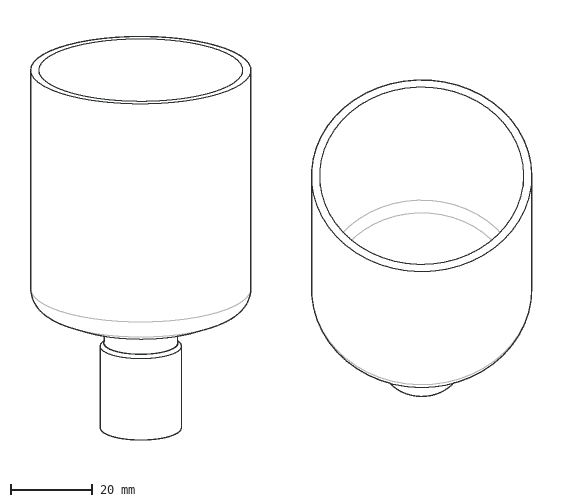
import cadquery as cq
import math

total_height = 92.0
cup_diameter = 54.0
bore_diameter = 50.0
seam_height = 35.9
stem_diameter = 20.0
stem_height = 21.8
stem_chamfer = 0.8
neck_diameter = 18.0

cup_radius = cup_diameter / 2
crown_radius = cup_diameter
knuckle_radius = cup_diameter / 10
wall = (cup_diameter - bore_diameter) / 2

tangent_angle = math.asin((cup_radius - knuckle_radius) / (crown_radius - knuckle_radius))
crown_center = seam_height + (crown_radius - knuckle_radius) * math.cos(tangent_angle)


def on_arc(center_x, center_z, radius, angle):
    """Point on an arc, with the angle measured from straight down."""
    return (center_x + radius * math.sin(angle), center_z - radius * math.cos(angle))


def dished_cylinder(offset):
    """Solid of the cup's outer shape, shrunk inward by the given offset."""
    crown = crown_radius - offset
    knuckle = knuckle_radius - offset
    knuckle_center = cup_radius - knuckle_radius
    knuckle_mid_angle = (tangent_angle + math.pi / 2) / 2
    side = cup_radius - offset
    return (
        cq.Workplane("XZ")
        .moveTo(0, crown_center - crown)
        .threePointArc(
            on_arc(0, crown_center, crown, tangent_angle / 2),
            on_arc(0, crown_center, crown, tangent_angle),
        )
        .threePointArc(
            on_arc(knuckle_center, seam_height, knuckle, knuckle_mid_angle),
            (side, seam_height),
        )
        .lineTo(side, total_height)
        .lineTo(0, total_height)
        .close()
        .revolve(360, (0, 0, 0), (0, 1, 0))
    )


stem = cq.Workplane("XY").circle(stem_diameter / 2).extrude(stem_height)
stem = stem.faces(">Z").edges().chamfer(stem_chamfer)

neck = cq.Workplane("XY").workplane(offset=stem_height)
neck = neck.circle(neck_diameter / 2).extrude(seam_height - stem_height)

cavity = dished_cylinder(wall)
result = dished_cylinder(0).union(neck).union(stem).cut(cavity)